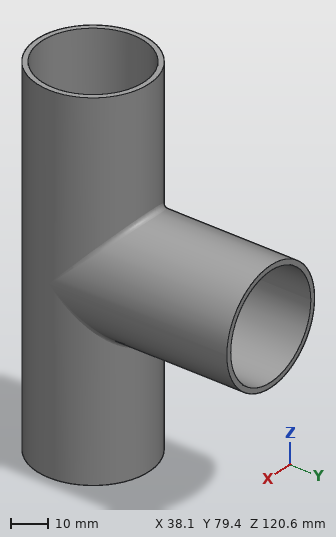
import cadquery as cq

run_length = 120.6
branch_reach = run_length / 2
outer_diameter = 38.1
wall = 1.7
seam_fillet = 1.5
tolerance = 0.01

outer_radius = outer_diameter / 2
bore_radius = outer_radius - wall


def tee(radius):
    """Solid tee: vertical run on the Z axis with a branch toward +Y at mid-height."""
    run = cq.Workplane("XY").circle(radius).extrude(run_length / 2, both=True)
    branch = cq.Workplane("XZ").circle(radius).extrude(-branch_reach)
    return run.union(branch)


def on_outer_seam(edge):
    """True for the outer mitre curve where the branch meets the run."""
    box = edge.BoundingBox()
    reaches_corner = abs(box.ymax - outer_radius) < tolerance and abs(box.zmax - outer_radius) < tolerance
    return edge.geomType() == "ELLIPSE" and reaches_corner


upper_space = cq.Workplane("XY").box(
    outer_diameter * 2, run_length * 2, run_length, centered=(True, True, False)
)
upper_half = tee(outer_radius).cut(tee(bore_radius)).intersect(upper_space)
outer_seam = [edge for edge in upper_half.edges().vals() if on_outer_seam(edge)]
upper_half = upper_half.newObject(outer_seam).fillet(seam_fillet)

result = upper_half.union(upper_half.mirror("XY")).clean()